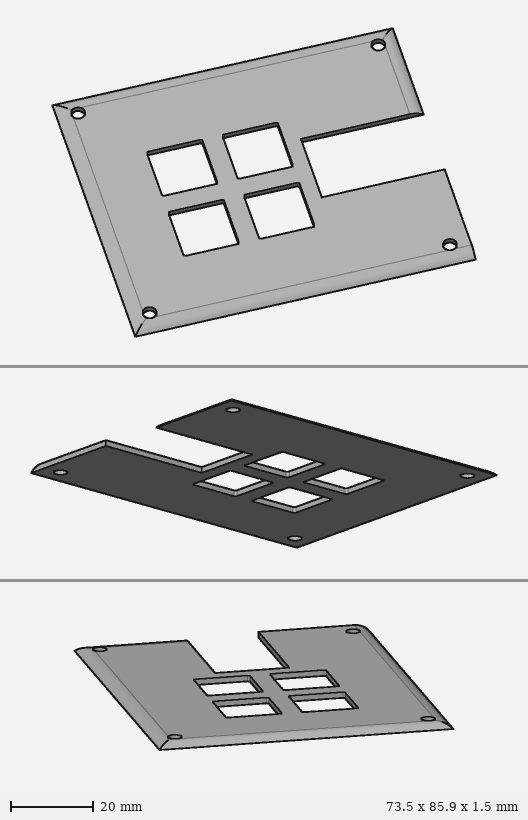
import cadquery as cq
import math

PLATE_WIDTH = 73.47
PLATE_LENGTH = 85.92
PLATE_THICKNESS = 1.5

BEVEL_RADIUS = 5.0
BEVEL_WIDTH = math.sqrt(BEVEL_RADIUS**2 - (BEVEL_RADIUS - PLATE_THICKNESS) ** 2)

NOTCH_WIDTH = 18.5
NOTCH_DEPTH = 31.0

KEY_SIZE = 14.0
KEY_PITCH = 19.05
KEY_CORNER_RADIUS = 0.5
KEY_GRID_X = 0.85
KEY_GRID_Y = -8.62

SCREW_DIAMETER = 3.4
SCREW_SPACING_X = 63.33
SCREW_SPACING_Y = 75.75

HALF_WIDTH = PLATE_WIDTH / 2
HALF_LENGTH = PLATE_LENGTH / 2
HALF_NOTCH = NOTCH_WIDTH / 2


def bevelled_slab(section_plane, width, extrusion_length):
    """Slab with both long edges bevelled, extruded symmetrically about the section plane."""
    half = width / 2
    flat_half = half - BEVEL_WIDTH
    half_sweep = math.asin(BEVEL_WIDTH / BEVEL_RADIUS) / 2
    middle_x = flat_half + BEVEL_RADIUS * math.sin(half_sweep)
    middle_z = PLATE_THICKNESS - BEVEL_RADIUS * (1 - math.cos(half_sweep))
    return (
        cq.Workplane(section_plane)
        .moveTo(-half, 0)
        .lineTo(half, 0)
        .threePointArc((middle_x, middle_z), (flat_half, PLATE_THICKNESS))
        .lineTo(-flat_half, PLATE_THICKNESS)
        .threePointArc((-middle_x, middle_z), (-half, 0))
        .close()
        .extrude(extrusion_length / 2, both=True)
    )


def make_plate():
    """Plate bevelled all round, except on the +Y edge to the right of the notch."""
    side_bevelled = bevelled_slab("XZ", PLATE_WIDTH, PLATE_LENGTH)
    end_bevelled = bevelled_slab("YZ", PLATE_LENGTH, PLATE_WIDTH)
    fully_bevelled = side_bevelled.intersect(end_bevelled)
    square_corner = side_bevelled.intersect(
        cq.Workplane("XY").box(HALF_WIDTH, HALF_LENGTH, PLATE_THICKNESS, centered=False)
    )
    return fully_bevelled.union(square_corner)


def make_notch():
    """Cutter for the notch that opens through the +Y edge."""
    return (
        cq.Workplane("XY")
        .box(NOTCH_WIDTH, NOTCH_DEPTH, PLATE_THICKNESS, centered=False)
        .translate((-HALF_NOTCH, HALF_LENGTH - NOTCH_DEPTH, 0))
    )


def make_key_openings():
    """Cutter for the four round-cornered square openings."""
    return (
        cq.Workplane("XY")
        .center(KEY_GRID_X, KEY_GRID_Y)
        .rarray(KEY_PITCH, KEY_PITCH, 2, 2)
        .rect(KEY_SIZE, KEY_SIZE)
        .extrude(PLATE_THICKNESS)
        .edges("|Z")
        .fillet(KEY_CORNER_RADIUS)
    )


def make_screw_holes():
    """Cutter for the four through holes near the corners."""
    return (
        cq.Workplane("XY")
        .rarray(SCREW_SPACING_X, SCREW_SPACING_Y, 2, 2)
        .circle(SCREW_DIAMETER / 2)
        .extrude(PLATE_THICKNESS)
    )


result = make_plate().cut(make_notch()).cut(make_key_openings()).cut(make_screw_holes())